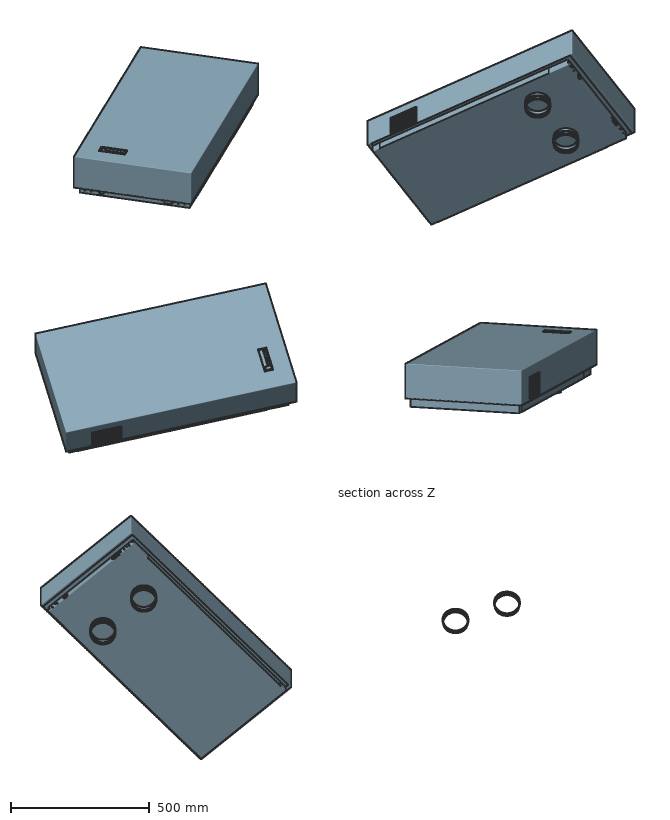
import cadquery as cq


COVER_WIDTH = 442.0
COVER_LENGTH = 859.0
COVER_HEIGHT = 129.0
COVER_EDGE_RADIUS = 2.15

SLOT_COUNT = 7
SLOT_PITCH = 12.0
SLOT_LENGTH = 111.0
SLOT_HEIGHT = 8.0
SLOT_DEPTH = 3.0
SLOT_CENTRE_Y = 278.0
LOWEST_SLOT_Z = 12.0

PANEL_X = -97.0
PANEL_Y = -345.0
PANEL_LENGTH = 98.0
PANEL_WIDTH = 32.0
PANEL_RIM = 2.0
PANEL_RIM_DEPTH = 2.0
PANEL_DEPTH = 4.0
BUTTON_X = -132.0
BUTTON_Y = -347.0
BUTTON_LENGTH = 15.0
BUTTON_WIDTH = 21.5
BUTTON_HEIGHT = 2.0
BAR_X = -91.0
BAR_Y = -351.0
BAR_LENGTH = 68.0
BAR_WIDTH = 10.0
BAR_RIM = 2.0
BAR_STEP = 1.0

FLANGE_WIDTH = 436.0
FLANGE_FRONT_Y = -419.0
FLANGE_THICKNESS = 2.0
TRAY_WIDTH = 414.0
TRAY_FRONT_Y = -403.0
TRAY_BACK_Y = 414.0
TRAY_HEIGHT = 32.0
TRAY_EDGE_RADIUS = 2.0
SIDE_FRONT_Y = -322.0
SIDE_BACK_Y = 385.5
SIDE_STEP = 0.4

SPIGOT_XS = (-109.0, 90.0)
SPIGOT_Y = -218.0
SPIGOT_RADIUS = 45.5
SPIGOT_BORE_RADIUS = 44.0
SPIGOT_LENGTH = 37.0
BEAD_RADIUS = 47.0
BEAD_HEIGHT = 5.0
BEAD_ABOVE_MOUTH = 15.5
LIP_HEIGHT = 6.0
LIP_RADIUS = 45.0

FRONT_HOLE_DEPTH = 3.0
OPENING_Z = -16.0
CABLE_HOLE_X = -124.5
CABLE_HOLE_RADIUS = 9.5
PORT_X = 124.5
PORT_WIDTH = 27.5
PORT_HEIGHT = 21.0
PORT_SCREW_SPACING = 41.0
SCREW_RADIUS = 1.3
UPPER_SCREW_Z = -12.0
LOWER_SCREW_Z = -20.0
UPPER_SCREW_XS = (174.0, 203.0)
LOWER_SCREW_XS = (163.0, 187.0)


def block(x_range, y_range, z_range):
    """A box given by its limits along each axis."""
    (x0, x1), (y0, y1), (z0, z1) = x_range, y_range, z_range
    return cq.Workplane("XY").box(x1 - x0, y1 - y0, z1 - z0, centered=False).translate((x0, y0, z0))


def centred_block(x, y, length, width, bottom, top):
    """A box centred at x, y between two heights."""
    return block((x - length / 2, x + length / 2), (y - width / 2, y + width / 2), (bottom, top))


def louvre_slots():
    """A vertical stack of round-ended slots."""
    centres = [(SLOT_CENTRE_Y, LOWEST_SLOT_Z + i * SLOT_PITCH) for i in range(SLOT_COUNT)]
    side_face = cq.Workplane("YZ", origin=(-COVER_WIDTH / 2, 0, 0))
    return side_face.pushPoints(centres).slot2D(SLOT_LENGTH, SLOT_HEIGHT).extrude(SLOT_DEPTH)


def panel_recess():
    """Stepped recess that leaves a button and a framed bar standing on its floor."""
    floor = COVER_HEIGHT - PANEL_DEPTH
    rim = centred_block(PANEL_X, PANEL_Y, PANEL_LENGTH, PANEL_WIDTH, COVER_HEIGHT - PANEL_RIM_DEPTH, COVER_HEIGHT)
    well = centred_block(
        PANEL_X, PANEL_Y, PANEL_LENGTH - 2 * PANEL_RIM, PANEL_WIDTH - 2 * PANEL_RIM, floor, COVER_HEIGHT
    )
    button = centred_block(BUTTON_X, BUTTON_Y, BUTTON_LENGTH, BUTTON_WIDTH, floor, floor + BUTTON_HEIGHT)
    bar = centred_block(BAR_X, BAR_Y, BAR_LENGTH, BAR_WIDTH, floor, floor + BAR_STEP)
    bar_top = centred_block(
        BAR_X, BAR_Y, BAR_LENGTH - 2 * BAR_RIM, BAR_WIDTH - 2 * BAR_RIM, floor, floor + 2 * BAR_STEP
    )
    return rim.union(well).cut(button).cut(bar.union(bar_top))


def make_cover():
    body = centred_block(0, 0, COVER_WIDTH, COVER_LENGTH, 0, COVER_HEIGHT)
    return body.edges().fillet(COVER_EDGE_RADIUS).cut(louvre_slots()).cut(panel_recess())


def spigot(x):
    """A tube with a raised bead and a slightly narrower lip at its mouth."""
    mouth = -TRAY_HEIGHT - SPIGOT_LENGTH

    def disc(radius, bottom, height):
        return cq.Workplane("XY", origin=(x, SPIGOT_Y, bottom)).circle(radius).extrude(height)

    tube = disc(SPIGOT_RADIUS, mouth + LIP_HEIGHT, SPIGOT_LENGTH - LIP_HEIGHT)
    lip = disc(LIP_RADIUS, mouth, LIP_HEIGHT)
    bead = disc(BEAD_RADIUS, mouth + BEAD_ABOVE_MOUTH, BEAD_HEIGHT)
    bore = disc(SPIGOT_BORE_RADIUS, mouth, SPIGOT_LENGTH)
    return tube.union(lip).union(bead).cut(bore)


def front_openings():
    """Cable hole, rectangular port and screw holes in the front wall of the tray."""
    wall = cq.Workplane("XZ", origin=(0, TRAY_FRONT_Y, 0))
    screws = [(PORT_X + side * PORT_SCREW_SPACING / 2, OPENING_Z) for side in (-1, 1)]
    for side in (-1, 1):
        screws += [(side * x, UPPER_SCREW_Z) for x in UPPER_SCREW_XS]
        screws += [(side * x, LOWER_SCREW_Z) for x in LOWER_SCREW_XS]
    cable_hole = wall.center(CABLE_HOLE_X, OPENING_Z).circle(CABLE_HOLE_RADIUS).extrude(-FRONT_HOLE_DEPTH)
    port = wall.center(PORT_X, OPENING_Z).rect(PORT_WIDTH, PORT_HEIGHT).extrude(-FRONT_HOLE_DEPTH)
    screw_holes = wall.pushPoints(screws).circle(SCREW_RADIUS).extrude(-FRONT_HOLE_DEPTH)
    return cable_hole.union(port).union(screw_holes)


def make_base():
    half_tray = TRAY_WIDTH / 2 - SIDE_STEP
    tray = block((-half_tray, half_tray), (TRAY_FRONT_Y, TRAY_BACK_Y), (-TRAY_HEIGHT, 0))
    front_edges = tray.faces("<Y").edges("not >Z")
    bottom_side_edges = tray.faces("<Z").edges("|Y")
    tray = front_edges.add(bottom_side_edges).fillet(TRAY_EDGE_RADIUS)
    half_side = TRAY_WIDTH / 2
    sides = block((-half_side, half_side), (SIDE_FRONT_Y, SIDE_BACK_Y), (-TRAY_HEIGHT, 0))
    half_flange = FLANGE_WIDTH / 2
    flange = block((-half_flange, half_flange), (FLANGE_FRONT_Y, TRAY_BACK_Y), (-FLANGE_THICKNESS, 0))
    base = tray.union(sides).union(flange).cut(front_openings())
    for x in SPIGOT_XS:
        base = base.union(spigot(x))
    return base


cover = make_cover()
base = make_base()
result = cq.Compound.makeCompound([cover.val(), base.val()])